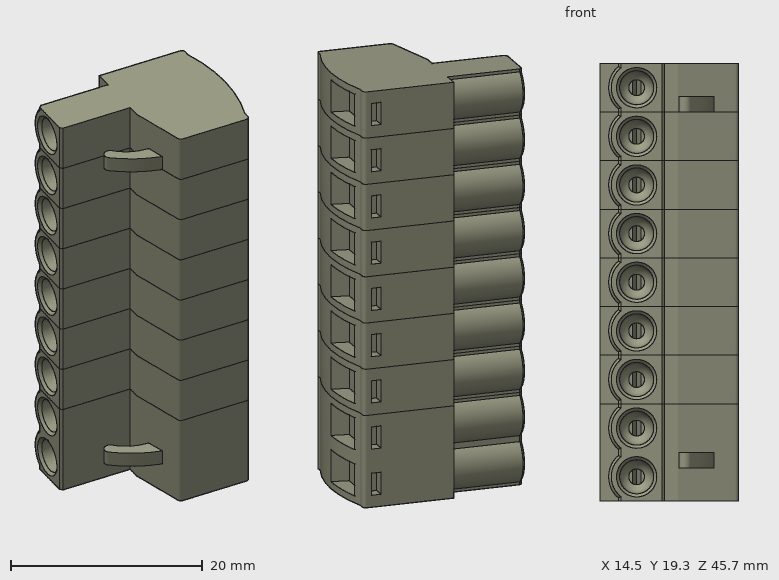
import cadquery as cq
import math

POLE_COUNT = 9
HEIGHT = 45.7
PITCH = HEIGHT / POLE_COUNT
BOTTOM_POLES = 2

BODY_WIDTH = 14.5
SHOULDER_Y = 8.28
REAR_Y = 18.3
BEVEL_START_X = 8.2
BEVEL_ANGLE = 15.2
CORNER_RADIUS = 0.4

DOME_WIDTH = 12.45
DOME_TOP_Y = 19.3

SOCKET_X = 3.85
SOCKET_RADIUS = 2.93
WEB_LEFT_X = 1.9
STEM_RIGHT_X = 6.75
TIP_CHAMFER = 0.27

BORE_RADIUS = 1.8
MOUTH_CHAMFER = 0.3
BORE_STRAIGHT = 0.9
FLOOR_RADIUS = 0.82
SLOT_WIDTH = 0.85
SLOT_DEPTH = 1.35

WINDOW_Y = 16.85
WINDOW_LENGTH = 1.05
WINDOW_HEIGHT = 2.42
WINDOW_DEPTH = 1.35

ENTRY_LEFT_X = 1.95
ENTRY_RIGHT_X = 7.3
ENTRY_FLOOR_Y = 17.37
ENTRY_HEIGHT = 3.5
ENTRY_WALL_LEAN = 10.0

HOOK_HEIGHT = 1.65
HOOK_ROOT_Y = 9.6
HOOK_INNER_START = (9.9, 8.8)
HOOK_INNER_MIDDLE = (9.35, 6.45)
HOOK_INNER_END = (8.35, 5.1)
HOOK_TIP_MIDDLE = (8.5, 4.2)
HOOK_OUTER_START = (9.35, 4.2)
HOOK_OUTER_MIDDLE = (11.05, 6.85)
HOOK_OUTER_END = (12.0, HOOK_ROOT_Y)


def block(height):
    """Housing block with the bevelled front, rounded corners and rear dome."""
    bevel_end_y = SHOULDER_Y + (BODY_WIDTH - BEVEL_START_X) * math.tan(math.radians(BEVEL_ANGLE))
    base = (
        cq.Workplane("XY")
        .moveTo(0, SHOULDER_Y)
        .lineTo(BEVEL_START_X, SHOULDER_Y)
        .lineTo(BODY_WIDTH, bevel_end_y)
        .lineTo(BODY_WIDTH, REAR_Y)
        .lineTo(0, REAR_Y)
        .close()
        .extrude(height)
        .edges("|Z and (>X or >Y)")
        .fillet(CORNER_RADIUS)
    )
    dome_left = (BODY_WIDTH - DOME_WIDTH) / 2
    dome = (
        cq.Workplane("XY")
        .moveTo(dome_left, REAR_Y)
        .threePointArc((BODY_WIDTH / 2, DOME_TOP_Y), (dome_left + DOME_WIDTH, REAR_Y))
        .close()
        .extrude(height)
    )
    return base.union(dome)


def socket_outline(pole_centres, height, y, inset):
    """Outline of the socket row at the given Y, with its side walls moved inwards by the inset."""
    web_x = WEB_LEFT_X + inset
    right_x = STEM_RIGHT_X - inset
    radius = SOCKET_RADIUS - inset
    half_chord = math.sqrt(radius**2 - (SOCKET_X - web_x) ** 2)
    outline = cq.Workplane("XZ", origin=(0, y, 0)).moveTo(right_x, 0).lineTo(web_x, 0)
    for z in pole_centres:
        outline = (
            outline.lineTo(web_x, z - half_chord)
            .threePointArc((SOCKET_X - radius, z), (web_x, z + half_chord))
        )
    return outline.lineTo(web_x, height).lineTo(right_x, height).close()


def socket_row(pole_centres, height):
    """Row of half-round sockets joined by a flat web, chamfered along the sides of the tip."""
    row = socket_outline(pole_centres, height, SHOULDER_Y, 0).extrude(SHOULDER_Y - TIP_CHAMFER)
    chamfer_start = socket_outline(pole_centres, height, TIP_CHAMFER, 0).val()
    tip_face = socket_outline(pole_centres, height, 0, TIP_CHAMFER).val()
    tip = cq.Solid.makeLoft([chamfer_start, tip_face], True)
    return row.union(cq.Workplane(tip))


def bore(z):
    """Cutter for one socket bore with a V slot in its round bottom."""
    mouth_radius = BORE_RADIUS + MOUTH_CHAMFER
    sphere_y = MOUTH_CHAMFER + BORE_STRAIGHT
    floor_y = sphere_y + math.sqrt(BORE_RADIUS**2 - FLOOR_RADIUS**2)
    arc_middle = BORE_RADIUS * math.sqrt(0.5)
    cavity = (
        cq.Workplane("XY")
        .lineTo(mouth_radius, 0)
        .lineTo(BORE_RADIUS, MOUTH_CHAMFER)
        .lineTo(BORE_RADIUS, sphere_y)
        .threePointArc(
            (arc_middle, sphere_y + arc_middle),
            (FLOOR_RADIUS, floor_y),
        )
        .lineTo(0, floor_y)
        .close()
        .revolve(360, (0, 0, 0), (0, 1, 0))
    )
    slot_limit = (
        cq.Workplane("XZ", origin=(0, floor_y, 0)).circle(FLOOR_RADIUS).extrude(-SLOT_DEPTH)
    )
    slot = (
        cq.Workplane("XY", origin=(0, floor_y, -FLOOR_RADIUS))
        .polyline([(-SLOT_WIDTH / 2, 0), (SLOT_WIDTH / 2, 0), (0, SLOT_DEPTH)])
        .close()
        .extrude(2 * FLOOR_RADIUS)
        .intersect(slot_limit)
    )
    return cavity.union(slot).translate((SOCKET_X, 0, z))


def window(z):
    """Cutter for the test window in the left side."""
    return cq.Workplane("XY").box(2 * WINDOW_DEPTH, WINDOW_LENGTH, WINDOW_HEIGHT).translate((0, WINDOW_Y, z))


def wire_entry(z):
    """Cutter for the rectangular wire entry in the rear dome."""
    lean = (DOME_TOP_Y - ENTRY_FLOOR_Y) * math.tan(math.radians(ENTRY_WALL_LEAN))
    corners = [
        (ENTRY_LEFT_X, ENTRY_FLOOR_Y),
        (ENTRY_RIGHT_X - lean, ENTRY_FLOOR_Y),
        (ENTRY_RIGHT_X, DOME_TOP_Y),
        (ENTRY_LEFT_X, DOME_TOP_Y),
    ]
    outline = cq.Workplane("XY").polyline(corners).close()
    return outline.extrude(ENTRY_HEIGHT).translate((0, 0, z - ENTRY_HEIGHT / 2))


def hook(bottom):
    """Curved latch hook with a rounded tip, rooted inside the bevelled block."""
    outline = (
        cq.Workplane("XY")
        .moveTo(HOOK_INNER_START[0], HOOK_ROOT_Y)
        .lineTo(*HOOK_INNER_START)
        .threePointArc(HOOK_INNER_MIDDLE, HOOK_INNER_END)
        .threePointArc(HOOK_TIP_MIDDLE, HOOK_OUTER_START)
        .threePointArc(HOOK_OUTER_MIDDLE, HOOK_OUTER_END)
        .close()
    )
    return outline.extrude(HOOK_HEIGHT).translate((0, 0, bottom))


def housing(bottom, poles, hook_bottom=None):
    """One housing of the given number of poles, with a latch hook if its height is given."""
    height = poles * PITCH
    pole_centres = [(pole + 0.5) * PITCH for pole in range(poles)]
    body = block(height).union(socket_row(pole_centres, height))
    if hook_bottom is not None:
        body = body.union(hook(hook_bottom))
    for z in pole_centres:
        body = body.cut(bore(z)).cut(window(z)).cut(wire_entry(z))
    return body.translate((0, 0, bottom))


bottom_housing = housing(0, BOTTOM_POLES, hook_bottom=PITCH - HOOK_HEIGHT)

middle_housings = [housing(pole * PITCH, 1) for pole in range(BOTTOM_POLES, POLE_COUNT - 1)]

top_housing = housing(HEIGHT - PITCH, 1, hook_bottom=0)

result = cq.Compound.makeCompound(
    [bottom_housing.val(), *[body.val() for body in middle_housings], top_housing.val()]
)